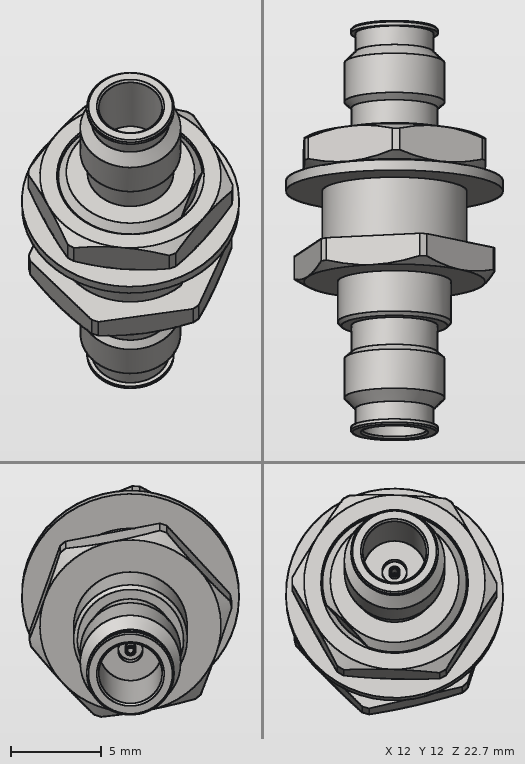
import cadquery as cq
import math

LENGTH = 22.7
PLUG_LENGTH = 6.0
HEX_TOP = 10.1
HEX_HEIGHT = 1.63
WASHER_BOTTOM = 13.55
WASHER_THICKNESS = 0.6
NUT_BOTTOM = 14.4
NUT_HEIGHT = 1.97

FLANGE_RADIUS = 2.4
FLANGE_THICKNESS = 0.27
FLANGE_CHAMFER = 0.1
TIP_NECK_RADIUS = 2.15
COLLAR_RADIUS = 2.77
COLLAR_TIP_DISTANCE = 1.93
COLLAR_LENGTH = 2.2
ROOT_NECK_RADIUS = 2.38
COLLAR_BACK_CONE = 0.35

BORE_RADIUS = 1.75
BORE_CHAMFER = 0.11
BORE_DEPTH = COLLAR_TIP_DISTANCE + COLLAR_LENGTH
GAP_RADIUS = 0.68
GAP_DEPTH = 0.45
CONTACT_RADIUS = 0.3
CONTACT_HOLE_RADIUS = 0.17
CONTACT_HOLE_DEPTH = 0.9
CONTACT_HOLE_CHAMFER = 0.05

BARREL_RADIUS = 4.0
BARREL_FLAT_X = 3.6
BARREL_CHAMFER = 0.45
SHOULDER_RADIUS = 3.13
SHOULDER_CHAMFER = 0.2

HEX_APOTHEM = 5.0
HEX_CORNER_RADIUS = 5.65
HEX_CHAMFER_ANGLE = 30.0
COLLAR_HEX_TURN = 30.0
NUT_HEX_TURN = 14.5

NUT_BORE_RADIUS = 3.72
NUT_MOUTH_RADIUS = 4.06
WASHER_RADIUS = 6.0


def revolve_profile(points):
    """Solid of revolution about Z from (radius, height) points."""
    return cq.Workplane("XZ").polyline(points).close().revolve(360, (0, 0), (0, 1))


def disc(radius, bottom, height):
    return cq.Workplane("XY").workplane(offset=bottom).circle(radius).extrude(height)


def hexagon(bottom, height, turn, chamfer_top):
    """Hexagon with trimmed corners and a conical chamfer below, and above if asked."""
    top = bottom + height
    corner_distance = HEX_APOTHEM / math.cos(math.radians(30))
    drop = (HEX_CORNER_RADIUS - HEX_APOTHEM) * math.tan(math.radians(HEX_CHAMFER_ANGLE))
    prism = (
        cq.Workplane("XY").workplane(offset=bottom)
        .polygon(6, 2 * corner_distance).extrude(height)
        .rotate((0, 0, 0), (0, 0, 1), turn)
    )
    envelope = [(0, bottom), (HEX_APOTHEM, bottom), (HEX_CORNER_RADIUS, bottom + drop)]
    if chamfer_top:
        envelope += [(HEX_CORNER_RADIUS, top - drop), (HEX_APOTHEM, top)]
    else:
        envelope += [(HEX_CORNER_RADIUS, top)]
    envelope += [(0, top)]
    return prism.intersect(revolve_profile(envelope))


def bottom_plug():
    """Snap-on plug end with its tip at Z = 0 and its root at Z = PLUG_LENGTH."""
    collar_end = COLLAR_TIP_DISTANCE + COLLAR_LENGTH
    return revolve_profile([
        (0, 0),
        (FLANGE_RADIUS - FLANGE_CHAMFER, 0),
        (FLANGE_RADIUS, FLANGE_CHAMFER),
        (FLANGE_RADIUS, FLANGE_THICKNESS),
        (TIP_NECK_RADIUS, FLANGE_THICKNESS),
        (TIP_NECK_RADIUS, COLLAR_TIP_DISTANCE - (COLLAR_RADIUS - TIP_NECK_RADIUS)),
        (COLLAR_RADIUS, COLLAR_TIP_DISTANCE),
        (COLLAR_RADIUS, collar_end),
        (ROOT_NECK_RADIUS, collar_end + COLLAR_BACK_CONE),
        (ROOT_NECK_RADIUS, PLUG_LENGTH),
        (0, PLUG_LENGTH),
    ])


def bottom_socket():
    """Hollow of the bottom plug: bore, gap around the contact, and contact hole."""
    bore = revolve_profile([
        (0, 0),
        (BORE_RADIUS + BORE_CHAMFER, 0),
        (BORE_RADIUS, BORE_CHAMFER),
        (BORE_RADIUS, BORE_DEPTH),
        (0, BORE_DEPTH),
    ])
    gap = disc(GAP_RADIUS, BORE_DEPTH, GAP_DEPTH).cut(disc(CONTACT_RADIUS, BORE_DEPTH, GAP_DEPTH))
    contact_hole = revolve_profile([
        (0, BORE_DEPTH),
        (CONTACT_HOLE_RADIUS + CONTACT_HOLE_CHAMFER, BORE_DEPTH),
        (CONTACT_HOLE_RADIUS, BORE_DEPTH + CONTACT_HOLE_CHAMFER),
        (CONTACT_HOLE_RADIUS, BORE_DEPTH + CONTACT_HOLE_DEPTH),
        (0, BORE_DEPTH + CONTACT_HOLE_DEPTH),
    ])
    return bore.union(contact_hole).union(gap)


def at_top(bottom_feature):
    """The same feature mirrored to the top end."""
    return bottom_feature.mirror("XY").translate((0, 0, LENGTH))


def barrel():
    """Threaded barrel with a chamfered upper edge and one flat facing +X."""
    top = LENGTH - PLUG_LENGTH
    flat_depth = BARREL_RADIUS - BARREL_FLAT_X
    rod = disc(BARREL_RADIUS, HEX_TOP, top - HEX_TOP).faces(">Z").chamfer(BARREL_CHAMFER)
    flat_cutter = (
        cq.Workplane("XY").workplane(offset=HEX_TOP)
        .center(BARREL_FLAT_X + flat_depth / 2, 0)
        .rect(flat_depth, 2 * BARREL_RADIUS).extrude(top - HEX_TOP)
    )
    return rod.cut(flat_cutter)


def make_housing():
    hex_bottom = HEX_TOP - HEX_HEIGHT
    shoulder = (
        disc(SHOULDER_RADIUS, PLUG_LENGTH, hex_bottom - PLUG_LENGTH)
        .faces("<Z").chamfer(SHOULDER_CHAMFER)
    )
    body = hexagon(hex_bottom, HEX_HEIGHT, COLLAR_HEX_TURN, chamfer_top=False)
    body = body.union(shoulder).union(barrel())
    plug = bottom_plug()
    socket = bottom_socket()
    body = body.union(plug).union(at_top(plug))
    return body.cut(socket).cut(at_top(socket))


def make_nut():
    """Hexagon nut; its bore has coned mouths and fits the flatted barrel."""
    top = NUT_BOTTOM + NUT_HEIGHT
    cone = NUT_MOUTH_RADIUS - NUT_BORE_RADIUS
    bore = revolve_profile([
        (0, NUT_BOTTOM),
        (NUT_MOUTH_RADIUS, NUT_BOTTOM),
        (NUT_BORE_RADIUS, NUT_BOTTOM + cone),
        (NUT_BORE_RADIUS, top - cone),
        (NUT_MOUTH_RADIUS, top),
        (0, top),
    ])
    blank = hexagon(NUT_BOTTOM, NUT_HEIGHT, NUT_HEX_TURN, chamfer_top=True)
    return blank.cut(bore).cut(barrel())


def make_washer():
    """Plain round washer that slides on the barrel."""
    hole = disc(BARREL_RADIUS, WASHER_BOTTOM, WASHER_THICKNESS)
    return disc(WASHER_RADIUS, WASHER_BOTTOM, WASHER_THICKNESS).cut(hole)


housing = make_housing()
nut = make_nut()
washer = make_washer()

result = cq.Compound.makeCompound([housing.val(), nut.val(), washer.val()])